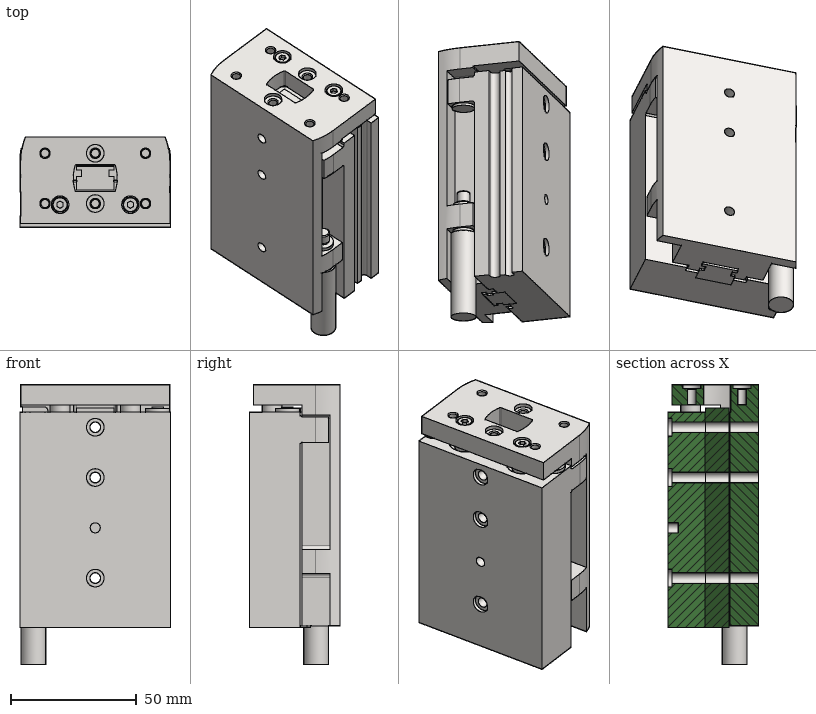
import cadquery as cq
import math


WIDTH = 60.0
DEPTH = 36.0
HOUSING_HEIGHT = 85.7
PLATE_CLEARANCE = 11.0
TABLE_TOP = HOUSING_HEIGHT + PLATE_CLEARANCE
ADJUSTER_OVERHANG = 14.7

FLANK_Y = 26.3
FLANK_RADIUS = 26.0

TABLE_HALF_WIDTH = 29.65
PLATE_FRONT = 1.5
PLATE_THICKNESS = 8.2
TABLE_BOTTOM = 0.7
SLAB_FRONT = 32.0
BLOCK_FRONT = 20.8
BLOCK_HALF_WIDTH = 18.85
POCKET_CORNER = 1.5
LEFT_POCKET_TOP = TABLE_TOP - 8.9
BRACKET_TOP = TABLE_TOP - 65.6
BRACKET_BOTTOM = TABLE_TOP - 75.2
TONGUE_HALF_WIDTH = 12.0
TONGUE_FRONT = 18.7

WINDOW_Y = (14.2, 24.9)
WINDOW_CORNER = 0.5
WINDOW_END_HALF_WIDTH = 7.9
WINDOW_MIDDLE_HALF_WIDTH = 8.75

HOLE_PITCH = 20.0
PLATE_HOLE_Y = (9.45, 29.45)
TAP_DIAMETER = 3.24
TAP_MOUTH_DIAMETER = 4.13
TAP_DEPTH = 8.0
LOCATING_DIAMETER = 7.0
LOCATING_DEPTH = 1.5

HOUSING_BACK = 20.1
TONGUE_CLEARANCE = 0.6
ARM_INNER_X = BLOCK_HALF_WIDTH + 0.5
ARM_BACK = 31.4
ARM_TOP = TABLE_TOP - 12.9
ARM_HEIGHT = 10.1
ARM_CORNER = 0.7
ARM_TOP_CLEARANCE = 0.8
STOP_PAD_DIAMETER = 9.0
STOP_PAD_HEIGHT = 1.0

SLOT_CENTERS_Y = (12.1, 6.1)
SLOT_WIDTHS = (4.0, 3.4)
SLOT_DEPTH = 4.0
SLOT_RIB_RECESS = 2.0

MOUNT_HOLE_DIAMETER = 4.13
MOUNT_BORE_DIAMETER = 7.0
MOUNT_BORE_DEPTH = 1.5
FIRST_MOUNT_Z = TABLE_TOP - 17.0
DOWEL_DIAMETER = 4.0
DOWEL_DEPTH = 4.0

PLUG_X = 24.8
PLUG_Y = 15.1
PLUG_DIAMETER = 9.6
PLUG_HEIGHT = 1.4
PLUG_CAP_DIAMETER = 4.6
PLUG_CAP_HEIGHT = 0.6

RAIL_HALF_WIDTH = 7.4
RAIL_Y = (14.9, 24.3)
RAIL_TOP = TABLE_TOP - 9.3
RACE_Y = (20.3, 22.8)
RACE_DEPTH = 1.85
RAIL_BACK_CLEARANCE = 0.3

ROD_X = 14.0
ROD_Y = 9.0
ROD_DIAMETER = 8.0
ROD_BOTTOM = 25.0
ROD_TOP = TABLE_TOP - PLATE_THICKNESS
ROD_SEAL_DIAMETER = 12.0
ROD_SEAL_DEPTH = 1.5
SCREW_DIAMETER = 4.0
SCREW_HEAD_DIAMETER = 6.0
SCREW_HEAD_CHAMFER = 0.25
SCREW_HEAD_HEIGHT = 3.6
SCREW_BORE_DIAMETER = 7.0
SCREW_BORE_DEPTH = 4.0
SOCKET_ACROSS_FLATS = 2.5
SOCKET_DEPTH = 1.5

ADJUSTER_X = -24.6
ADJUSTER_Y = 26.5
ADJUSTER_DIAMETER = 10.0
ADJUSTER_COLLAR_DIAMETER = 8.5
ADJUSTER_COLLAR_HEIGHT = 1.4
ADJUSTER_SHANK_DIAMETER = 8.0
ADJUSTER_SHANK_RISE = 1.4
ADJUSTER_NECK_DIAMETER = 4.0
ADJUSTER_NECK_HEIGHT = 0.8
ADJUSTER_TIP_DIAMETER = 5.0
ADJUSTER_TIP_HEIGHT = 4.3
ADJUSTER_TIP_CHAMFER = 0.4


def box(x, y, z):
    """Box from its (low, high) limits along each axis."""
    size = (x[1] - x[0], y[1] - y[0], z[1] - z[0])
    return cq.Workplane("XY").box(*size, centered=False).translate((x[0], y[0], z[0]))


def cylinder(x, y, z, diameter):
    """Upright cylinder between the two heights in z."""
    return cq.Workplane("XY", origin=(x, y, z[0])).circle(diameter / 2).extrude(z[1] - z[0])


def hole_along_y(z, diameter, y):
    """Cylinder on the middle plane, running along Y between the two depths in y."""
    plane = cq.Workplane("XZ", origin=(0, y[0], z))
    return plane.circle(diameter / 2).extrude(y[0] - y[1])


def flank_inset(y):
    """How far the flank has curved inward at depth y."""
    return FLANK_RADIUS - math.sqrt(FLANK_RADIUS**2 - (y - FLANK_Y) ** 2)


def flanked_block(half_width, y, z):
    """Symmetric block whose two sides curve inward beyond FLANK_Y."""
    y_middle = (FLANK_Y + y[1]) / 2
    x_back = half_width - flank_inset(y[1])
    x_middle = half_width - flank_inset(y_middle)
    return (
        cq.Workplane("XY", origin=(0, 0, z[0]))
        .moveTo(-half_width, y[0])
        .lineTo(half_width, y[0])
        .lineTo(half_width, FLANK_Y)
        .threePointArc((x_middle, y_middle), (x_back, y[1]))
        .lineTo(-x_back, y[1])
        .threePointArc((-x_middle, y_middle), (-half_width, FLANK_Y))
        .close()
        .extrude(z[1] - z[0])
    )


def side_pocket(side, z, rounded):
    """Pocket in one flank of the table, with its inner corners rounded."""
    x = sorted((side * BLOCK_HALF_WIDTH, side * WIDTH))
    pocket = box(x, (BLOCK_FRONT, SLAB_FRONT), z)
    inner_edges = pocket.faces("<X" if side > 0 else ">X").edges("|Y")
    return inner_edges.edges(rounded).fillet(POCKET_CORNER)


def rail_window():
    """Window with bowed sides, cut through the end plate down to the rail guide."""
    y_low, y_high = WINDOW_Y
    y_middle = (y_low + y_high) / 2
    end = WINDOW_END_HALF_WIDTH
    middle = WINDOW_MIDDLE_HALF_WIDTH
    return (
        cq.Workplane("XY", origin=(0, 0, HOUSING_HEIGHT))
        .moveTo(-end, y_low)
        .lineTo(end, y_low)
        .threePointArc((middle, y_middle), (end, y_high))
        .lineTo(-end, y_high)
        .threePointArc((-middle, y_middle), (-end, y_low))
        .close()
        .extrude(PLATE_CLEARANCE)
        .edges("|Z")
        .fillet(WINDOW_CORNER)
    )


def rail_races(z):
    """Two grooves in the flanks of the rail; ridges of the table run in them."""
    floor_x = RAIL_HALF_WIDTH - RACE_DEPTH
    left = box((-RAIL_HALF_WIDTH, -floor_x), RACE_Y, z)
    return left.union(box((floor_x, RAIL_HALF_WIDTH), RACE_Y, z))


def rail_guide():
    """Channel along the table that wraps the rail, leaving ridges that fill its races."""
    x = (-RAIL_HALF_WIDTH, RAIL_HALF_WIDTH)
    z = (0, HOUSING_HEIGHT)
    return box(x, (0, RAIL_Y[1] + RAIL_BACK_CLEARANCE), z).cut(rail_races(z))


def tapped_hole(x, y):
    """Tapped hole in the table top with a countersunk mouth."""
    hole = cylinder(x, y, (TABLE_TOP - TAP_DEPTH, TABLE_TOP), TAP_DIAMETER)
    mouth_top = TABLE_TOP
    if x == 0:
        mouth_top = TABLE_TOP - LOCATING_DEPTH
        hole = hole.union(cylinder(x, y, (mouth_top, TABLE_TOP), LOCATING_DIAMETER))
    mouth_depth = (TAP_MOUTH_DIAMETER - TAP_DIAMETER) / 2
    mouth = cylinder(x, y, (mouth_top - mouth_depth, mouth_top), TAP_MOUTH_DIAMETER)
    mouth = mouth.faces("<Z").chamfer(mouth_depth * 0.999)
    return hole.union(mouth)


def mount_heights():
    """Heights of the three through mounting holes, and of the dowel hole between them."""
    heights = [FIRST_MOUNT_Z - i * HOLE_PITCH for i in range(4)]
    dowel = heights.pop(2)
    return heights, dowel


def make_table():
    table = flanked_block(TABLE_HALF_WIDTH, (PLATE_FRONT, DEPTH), (TABLE_BOTTOM, TABLE_TOP))
    table = table.cut(
        box((-WIDTH, WIDTH), (0, BLOCK_FRONT), (0, TABLE_TOP - PLATE_THICKNESS))
    )
    tongue_x = (-TONGUE_HALF_WIDTH, TONGUE_HALF_WIDTH)
    table = table.union(
        box(tongue_x, (TONGUE_FRONT, SLAB_FRONT), (TABLE_BOTTOM, HOUSING_HEIGHT))
    )
    pocket_tops = {-1: LEFT_POCKET_TOP, 1: ARM_TOP + ARM_TOP_CLEARANCE}
    for side, pocket_top in pocket_tops.items():
        table = table.cut(side_pocket(side, (BRACKET_TOP, pocket_top), "|Y"))
        table = table.cut(side_pocket(side, (0, BRACKET_BOTTOM), ">Z"))
    table = table.cut(rail_window()).cut(rail_guide())
    for x in (-HOLE_PITCH, 0, HOLE_PITCH):
        for y in PLATE_HOLE_Y:
            table = table.cut(tapped_hole(x, y))
    for x in (-ROD_X, ROD_X):
        table = table.cut(cylinder(x, ROD_Y, (ROD_TOP, TABLE_TOP), SCREW_DIAMETER))
        bore = (TABLE_TOP - SCREW_BORE_DEPTH, TABLE_TOP)
        table = table.cut(cylinder(x, ROD_Y, bore, SCREW_BORE_DIAMETER))
    for z in mount_heights()[0]:
        table = table.cut(hole_along_y(z, MOUNT_HOLE_DIAMETER, (BLOCK_FRONT, DEPTH)))
    shank = (BRACKET_BOTTOM, BRACKET_TOP)
    return table.cut(cylinder(ADJUSTER_X, ADJUSTER_Y, shank, ADJUSTER_SHANK_DIAMETER))


def stop_arms():
    """Pair of arms that reach into the side pockets of the table."""
    arm_bottom = ARM_TOP - ARM_HEIGHT
    arms = flanked_block(WIDTH / 2, (HOUSING_BACK, ARM_BACK), (arm_bottom, ARM_TOP))
    arms = arms.cut(
        box((-ARM_INNER_X, ARM_INNER_X), (0, DEPTH), (arm_bottom, ARM_TOP))
    )
    gusset = (
        cq.Workplane("YZ", origin=(-WIDTH / 2, 0, 0))
        .moveTo(HOUSING_BACK, arm_bottom - ARM_CORNER)
        .lineTo(HOUSING_BACK + ARM_CORNER, arm_bottom)
        .lineTo(HOUSING_BACK + ARM_CORNER, ARM_TOP)
        .lineTo(HOUSING_BACK, ARM_TOP + ARM_CORNER)
        .close()
        .extrude(WIDTH / 2 - ARM_INNER_X)
    )
    arms = arms.union(gusset).union(gusset.mirror("YZ"))
    pad = (arm_bottom - STOP_PAD_HEIGHT, arm_bottom)
    return arms.union(cylinder(ADJUSTER_X, ADJUSTER_Y, pad, STOP_PAD_DIAMETER))


def sensor_slots():
    """Two round-bottomed slots along the -X side and the recessed rib between them."""
    slots = box(
        (-WIDTH / 2, -WIDTH / 2 + SLOT_RIB_RECESS),
        (SLOT_CENTERS_Y[1], SLOT_CENTERS_Y[0]),
        (0, HOUSING_HEIGHT),
    )
    for y, width in zip(SLOT_CENTERS_Y, SLOT_WIDTHS):
        round_x = -WIDTH / 2 + SLOT_DEPTH - width / 2
        walls = box((-WIDTH / 2, round_x), (y - width / 2, y + width / 2), (0, HOUSING_HEIGHT))
        slots = slots.union(walls)
        slots = slots.union(cylinder(round_x, y, (0, HOUSING_HEIGHT), width))
    return slots


def make_housing():
    housing = box((-WIDTH / 2, WIDTH / 2), (0, HOUSING_BACK), (0, HOUSING_HEIGHT))
    channel = TONGUE_HALF_WIDTH + TONGUE_CLEARANCE
    channel_floor = TONGUE_FRONT - TONGUE_CLEARANCE
    housing = housing.cut(
        box((-channel, channel), (channel_floor, HOUSING_BACK), (0, HOUSING_HEIGHT))
    )
    rail_seat_x = (-RAIL_HALF_WIDTH, RAIL_HALF_WIDTH)
    housing = housing.cut(box(rail_seat_x, (RAIL_Y[0], HOUSING_BACK), (0, HOUSING_HEIGHT)))
    housing = housing.cut(sensor_slots()).union(stop_arms())
    for x in (-ROD_X, ROD_X):
        housing = housing.cut(cylinder(x, ROD_Y, (ROD_BOTTOM, HOUSING_HEIGHT), ROD_DIAMETER))
        seal = (HOUSING_HEIGHT - ROD_SEAL_DEPTH, HOUSING_HEIGHT)
        housing = housing.cut(cylinder(x, ROD_Y, seal, ROD_SEAL_DIAMETER))
    through_heights, dowel_height = mount_heights()
    for z in through_heights:
        housing = housing.cut(hole_along_y(z, MOUNT_HOLE_DIAMETER, (0, HOUSING_BACK)))
        housing = housing.cut(hole_along_y(z, MOUNT_BORE_DIAMETER, (0, MOUNT_BORE_DEPTH)))
    housing = housing.cut(hole_along_y(dowel_height, DOWEL_DIAMETER, (0, DOWEL_DEPTH)))
    plug_top = HOUSING_HEIGHT + PLUG_HEIGHT
    cap = (plug_top, plug_top + PLUG_CAP_HEIGHT)
    housing = housing.union(cylinder(PLUG_X, PLUG_Y, (HOUSING_HEIGHT, plug_top), PLUG_DIAMETER))
    return housing.union(cylinder(PLUG_X, PLUG_Y, cap, PLUG_CAP_DIAMETER))


def make_rail():
    rail = box((-RAIL_HALF_WIDTH, RAIL_HALF_WIDTH), RAIL_Y, (0, RAIL_TOP))
    rail = rail.cut(rail_races((0, RAIL_TOP)))
    for z in mount_heights()[0]:
        rail = rail.cut(hole_along_y(z, MOUNT_HOLE_DIAMETER, RAIL_Y))
    return rail


def make_rod(x):
    """Piston rod with the socket screw that fastens it to the end plate."""
    rod = cylinder(x, ROD_Y, (ROD_BOTTOM, ROD_TOP), ROD_DIAMETER)
    head_bottom = TABLE_TOP - SCREW_BORE_DEPTH
    head_top = head_bottom + SCREW_HEAD_HEIGHT
    head = cylinder(x, ROD_Y, (head_bottom, head_top), SCREW_HEAD_DIAMETER)
    head = head.faces(">Z").chamfer(SCREW_HEAD_CHAMFER)
    socket = (
        cq.Workplane("XY", origin=(x, ROD_Y, head_top))
        .polygon(6, SOCKET_ACROSS_FLATS, circumscribed=True)
        .extrude(-SOCKET_DEPTH)
    )
    shank = cylinder(x, ROD_Y, (ROD_TOP, head_bottom), SCREW_DIAMETER)
    return rod.union(shank).union(head).cut(socket)


def make_adjuster():
    """Stop screw, stacked from the bottom end up to its tip."""
    collar_bottom = BRACKET_BOTTOM - ADJUSTER_COLLAR_HEIGHT
    shank_top = BRACKET_TOP + ADJUSTER_SHANK_RISE
    neck_top = shank_top + ADJUSTER_NECK_HEIGHT
    tip_top = neck_top + ADJUSTER_TIP_HEIGHT
    sections = (
        (-ADJUSTER_OVERHANG, collar_bottom, ADJUSTER_DIAMETER),
        (collar_bottom, BRACKET_BOTTOM, ADJUSTER_COLLAR_DIAMETER),
        (BRACKET_BOTTOM, shank_top, ADJUSTER_SHANK_DIAMETER),
        (shank_top, neck_top, ADJUSTER_NECK_DIAMETER),
        (neck_top, tip_top, ADJUSTER_TIP_DIAMETER),
    )
    adjuster = cq.Workplane("XY")
    for bottom, top, diameter in sections:
        adjuster = adjuster.union(cylinder(ADJUSTER_X, ADJUSTER_Y, (bottom, top), diameter))
    return adjuster.faces(">Z").chamfer(ADJUSTER_TIP_CHAMFER)


housing = make_housing()
table = make_table()
rail = make_rail()
rods = [make_rod(x) for x in (-ROD_X, ROD_X)]
adjuster = make_adjuster()

bodies = [housing, table, rail, *rods, adjuster]
result = cq.Compound.makeCompound([body.solids().val() for body in bodies])